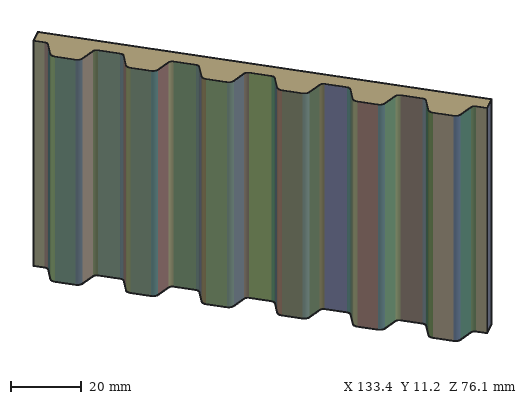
import cadquery as cq
import math

length = 133.4
thickness = 11.2
width = 76.1

tooth_count = 6
pitch = length / tooth_count
tooth_height = 6.4
root_width = 13.9
flank_angle = math.radians(22.5)
root_radius = 1.3
tip_radius = 1.9
tip_width = root_width - 2 * tooth_height * math.tan(flank_angle)

back_y = thickness / 2
tip_y = -thickness / 2
valley_y = tip_y + tooth_height


def tooth_corners(center_x):
    """Sharp corners of one tooth, from left to right."""
    return [
        (center_x - root_width / 2, valley_y),
        (center_x - tip_width / 2, tip_y),
        (center_x + tip_width / 2, tip_y),
        (center_x + root_width / 2, valley_y),
    ]


def edges_at_level(body, y):
    """Lengthwise Z edges lying at one Y level, away from the two ends."""
    margin = 0.1
    inside = length / 2 - margin
    box = cq.selectors.BoxSelector(
        (-inside, y - margin, -width), (inside, y + margin, width)
    )
    return body.edges("|Z").edges(box)


outline = [(-length / 2, back_y), (-length / 2, valley_y)]
for index in range(tooth_count):
    outline += tooth_corners((index + 0.5) * pitch - length / 2)
outline += [(length / 2, valley_y), (length / 2, back_y)]

belt = cq.Workplane("XY").polyline(outline).close().extrude(width / 2, both=True)

belt = edges_at_level(belt, valley_y).fillet(root_radius)
belt = edges_at_level(belt, tip_y).fillet(tip_radius)

result = belt